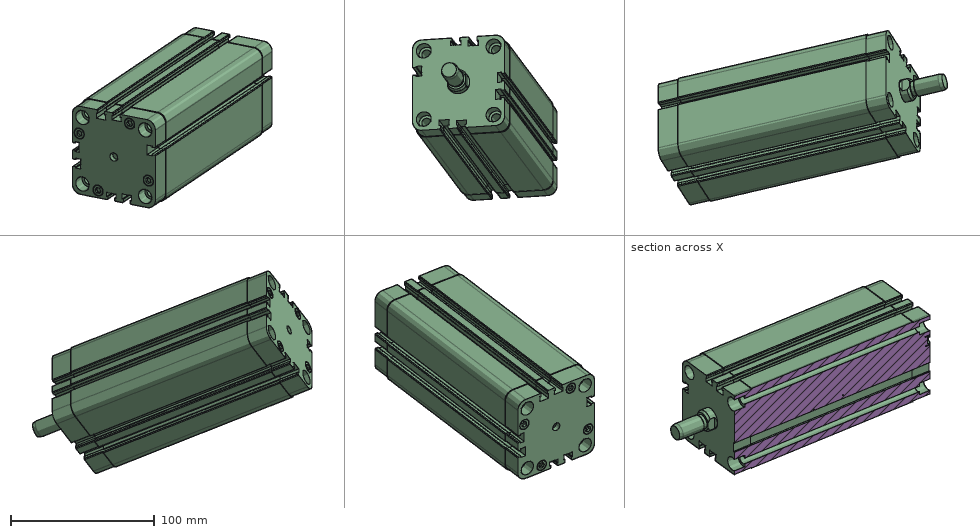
import cadquery as cq

LENGTH = 202.0
BODY_SIDE = 67.0
BODY_CORNER_RADIUS = 6.7
CAP_INSET = 0.5
CAP_LENGTH = 15.0
ROD_REACH = 31.1
REAR_Y = -LENGTH / 2
FRONT_Y = LENGTH / 2 - ROD_REACH
BARREL_LENGTH = FRONT_Y - REAR_Y - 2 * CAP_LENGTH

SLOT_MOUTH_WIDTH = 5.5
BARREL_CHAMBER_WIDTH = 7.0
CAP_CHAMBER_WIDTH = 7.3
SLOT_MOUTH_CHAMFER = 0.6
BARREL_SLOT_RELIEF = 0.2
DEEP_SLOT_DEPTH = 7.0
DEEP_SLOT_LIP = 3.2
DEEP_SLOT_OFFSET = -10.3
SHALLOW_SLOT_DEPTH = 5.9
SHALLOW_SLOT_LIP = 2.8
SHALLOW_SLOT_OFFSET = 2.0
SIDES = (0, 90, 180, 270)
SHALLOW_SLOT_SIDES = (0, 90, 180)

MOUNT_PITCH = 49.9
MOUNT_HOLE_DIAMETER = 6.7
MOUNT_BORE_DIAMETER = 10.5
MOUNT_BORE_DEPTH = 9.0
CENTRE_HOLE_DIAMETER = 6.0
CENTRE_HOLE_DEPTH = 4.0
SCREW_X = 12.5
SCREW_Z = 27.5
SCREW_RECESS_DIAMETER = 8.0
SCREW_HEAD_DIAMETER = 7.5
SCREW_RECESS_DEPTH = 4.0
SCREW_SOCKET_SIZE = 4.5
SCREW_SOCKET_DEPTH = 2.0

ROD_DIAMETER = 16.0
ROD_CHAMFER_LENGTH = 1.8
ROD_CHAMFER_RADIAL = 1.2
ROD_SHOULDER_LENGTH = 7.3
ROD_FLATS = 13.0
FLAT_START = 1.6
THREAD_DIAMETER = 12.0
NECK_DIAMETER = 10.5
NECK_LENGTH = 2.5
THREAD_RUNOUT = 0.6
TIP_CHAMFER_LENGTH = 2.6


def square_prism(side, radius, start_y, length):
    """Square bar along +Y with rounded long edges."""
    bar = cq.Workplane("XY").box(side, length, side).edges("|Y").fillet(radius)
    return bar.translate((0, start_y + length / 2, 0))


def cylinder(diameter, start_y, length, x=0, z=0):
    """Round bar along +Y."""
    base = cq.Vector(x, start_y, z)
    return cq.Workplane(cq.Solid.makeCylinder(diameter / 2, length, base, cq.Vector(0, 1, 0)))


def t_slot(offset, surface, chamber_top, floor, chamber_width, start_y, length):
    """T-slot cutter for the +Z side, with a chamfered mouth at height `surface`."""
    mouth = SLOT_MOUTH_WIDTH / 2
    chamber = chamber_width / 2
    flare = mouth + SLOT_MOUTH_CHAMFER
    chamfer_bottom = surface - SLOT_MOUTH_CHAMFER
    profile = [
        (offset - flare, surface),
        (offset - mouth, chamfer_bottom),
        (offset - mouth, chamber_top),
        (offset - chamber, chamber_top),
        (offset - chamber, floor),
        (offset + chamber, floor),
        (offset + chamber, chamber_top),
        (offset + mouth, chamber_top),
        (offset + mouth, chamfer_bottom),
        (offset + flare, surface),
    ]
    return cq.Workplane("XZ", origin=(0, start_y, 0)).polyline(profile).close().extrude(-length)


def around_axis(shape, angle):
    """Turn a shape about the cylinder axis, from +Z toward -X."""
    return shape.rotate((0, 0, 0), (0, 1, 0), -angle)


def slotted_section(side, chamber_width, floor_relief, start_y, length):
    """Square section with a deep slot on every side and a shallow one on all but +X."""
    section = square_prism(side, BODY_CORNER_RADIUS, start_y, length)
    slots = (
        (DEEP_SLOT_OFFSET, DEEP_SLOT_LIP, DEEP_SLOT_DEPTH, SIDES),
        (SHALLOW_SLOT_OFFSET, SHALLOW_SLOT_LIP, SHALLOW_SLOT_DEPTH, SHALLOW_SLOT_SIDES),
    )
    for offset, lip, depth, sides in slots:
        chamber_top = BODY_SIDE / 2 - lip
        floor = BODY_SIDE / 2 - depth - floor_relief
        slot = t_slot(offset, side / 2, chamber_top, floor, chamber_width, start_y, length)
        for angle in sides:
            section = section.cut(around_axis(slot, angle))
    return section


def body():
    """Barrel with a slightly smaller end cap, with shallower but wider slots, at each end."""
    cap_side = BODY_SIDE - 2 * CAP_INSET
    barrel = slotted_section(
        BODY_SIDE, BARREL_CHAMBER_WIDTH, BARREL_SLOT_RELIEF, REAR_Y + CAP_LENGTH, BARREL_LENGTH
    )
    rear_cap = slotted_section(cap_side, CAP_CHAMBER_WIDTH, 0, REAR_Y, CAP_LENGTH)
    front_cap = slotted_section(cap_side, CAP_CHAMBER_WIDTH, 0, FRONT_Y - CAP_LENGTH, CAP_LENGTH)
    return barrel.union(rear_cap).union(front_cap)


def cut_mount_holes(part):
    """Through holes in the corners, counterbored from both ends."""
    for x in (-MOUNT_PITCH / 2, MOUNT_PITCH / 2):
        for z in (-MOUNT_PITCH / 2, MOUNT_PITCH / 2):
            part = part.cut(cylinder(MOUNT_HOLE_DIAMETER, REAR_Y, LENGTH, x, z))
            for start in (REAR_Y, FRONT_Y - MOUNT_BORE_DEPTH):
                part = part.cut(cylinder(MOUNT_BORE_DIAMETER, start, MOUNT_BORE_DEPTH, x, z))
    return part


def cut_screws(part):
    """Cover screws on the rear face: a clearance ring around each head and a hexagon socket."""
    ring = cylinder(SCREW_RECESS_DIAMETER, REAR_Y, SCREW_RECESS_DEPTH, SCREW_X, SCREW_Z)
    ring = ring.cut(cylinder(SCREW_HEAD_DIAMETER, REAR_Y, SCREW_RECESS_DEPTH, SCREW_X, SCREW_Z))
    socket = (
        cq.Workplane("XZ", origin=(SCREW_X, REAR_Y, SCREW_Z))
        .polygon(6, SCREW_SOCKET_SIZE)
        .extrude(-SCREW_SOCKET_DEPTH)
    )
    for angle in SIDES:
        part = part.cut(around_axis(ring, angle)).cut(around_axis(socket, angle))
    return part


def piston_rod():
    """Turned rod: shoulder, neck and threaded end, with two wrench flats on the shoulder."""
    rod = ROD_DIAMETER / 2
    neck = NECK_DIAMETER / 2
    thread = THREAD_DIAMETER / 2
    shoulder_y = FRONT_Y + ROD_SHOULDER_LENGTH
    neck_y = shoulder_y + NECK_LENGTH
    tip_y = LENGTH / 2
    profile = [
        (0, FRONT_Y - CAP_LENGTH),
        (rod, FRONT_Y - CAP_LENGTH),
        (rod, shoulder_y - ROD_CHAMFER_LENGTH),
        (rod - ROD_CHAMFER_RADIAL, shoulder_y),
        (neck, shoulder_y),
        (neck, neck_y),
        (thread, neck_y + THREAD_RUNOUT),
        (thread, tip_y - TIP_CHAMFER_LENGTH),
        (neck, tip_y),
        (0, tip_y),
    ]
    turned = cq.Workplane("XY").polyline(profile).close().revolve(360, (0, 0, 0), (0, 1, 0))

    flat = ROD_FLATS / 2
    flat_cut = (
        cq.Workplane("XY")
        .polyline([
            (flat, FRONT_Y + FLAT_START),
            (flat, shoulder_y),
            (rod, shoulder_y),
            (rod, FRONT_Y + FLAT_START - (rod - flat)),
        ])
        .close()
        .extrude(rod, both=True)
    )
    return turned.cut(flat_cut).cut(flat_cut.mirror("YZ"))


result = cut_screws(cut_mount_holes(body()))
result = result.cut(cylinder(CENTRE_HOLE_DIAMETER, REAR_Y, CENTRE_HOLE_DEPTH))
result = result.union(piston_rod())